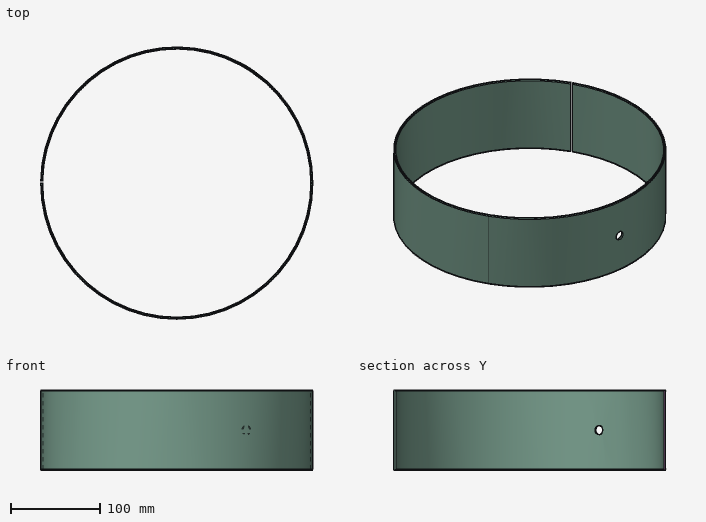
import cadquery as cq

outer_diameter = 305.0
wall = 2.5
height = 90.0
bevel_run = 0.5
bevel_rise = 1.2
slit_width = 2.5
hole_diameter = 10.0
hole_angle = 59.0

outer_radius = outer_diameter / 2


def band():
    """Thin cylindrical wall standing on Z = 0, with steep bevels on both edges of each rim."""
    inner_radius = outer_radius - wall
    profile = [
        (inner_radius + bevel_run, 0),
        (outer_radius - bevel_run, 0),
        (outer_radius, bevel_rise),
        (outer_radius, height - bevel_rise),
        (outer_radius - bevel_run, height),
        (inner_radius + bevel_run, height),
        (inner_radius, height - bevel_rise),
        (inner_radius, bevel_rise),
    ]
    return cq.Workplane("XZ").polyline(profile).close().revolve(360, (0, 0, 0), (0, 1, 0))


def slit():
    """Full-height cut through the -X side; one of its faces lies on the plane Y = 0."""
    return (
        cq.Workplane("XY")
        .box(outer_diameter, slit_width, height, centered=False)
        .translate((-outer_diameter, 0, 0))
    )


def radial_hole():
    """Cylinder running outward from the axis through one side of the wall, at mid height."""
    return (
        cq.Workplane("YZ")
        .center(0, height / 2)
        .circle(hole_diameter / 2)
        .extrude(outer_diameter)
        .rotate((0, 0, 0), (0, 0, 1), hole_angle)
    )


result = band().cut(slit()).cut(radial_hole())